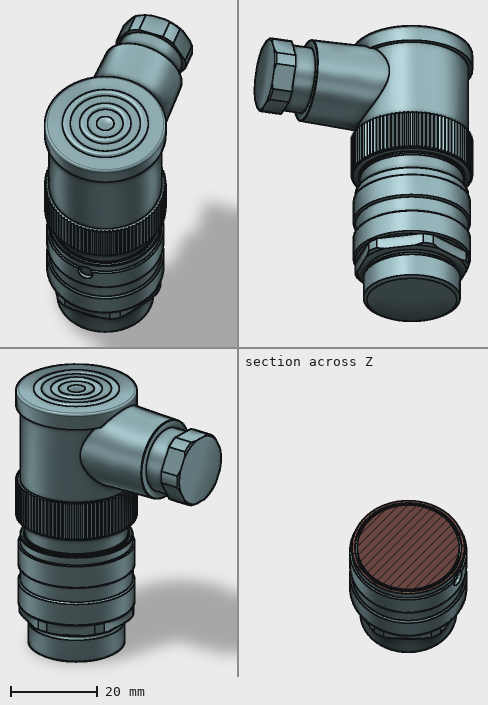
import cadquery as cq
import math


COLLAR_RADIUS = 11.1
COLLAR_TOP = 6.4
COLLAR_CHAMFER_WIDTH = 0.8
COLLAR_CHAMFER_HEIGHT = 0.5
GROOVE_RADIUS = 10.1
GROOVE_TOP = 7.0
PLUG_HEX_BOTTOM = 7.55
PLUG_HEX_FLATS = 24.0
PLUG_HEX_ROUND_RADIUS = 13.2
PLUG_HEX_CHAMFER_WIDTH = 0.65
PLUG_HEX_CHAMFER_HEIGHT = 0.45

SLEEVE_BOTTOM = 10.4
SLEEVE_TOP = 27.8
SLEEVE_RADIUS = 13.0
BAND_RADIUS = 13.5
BAND_CHAMFER = 0.4
LOWER_BAND_TOP = 16.4
UPPER_BAND_BOTTOM = 19.9
UPPER_BAND_TOP = 25.8
UPPER_BAND_TOP_TAPER = 0.2
SLEEVE_TOP_CHAMFER = 0.2
SLEEVE_RECESS_RADIUS = 12.25
SLEEVE_RECESS_DEPTH = 1.0
MARK_HOLE_RADIUS = 1.75
MARK_HOLE_HEIGHT = 24.6
MARK_HOLE_FLOOR_RADIUS = 12.5

NECK_BOTTOM = SLEEVE_TOP - SLEEVE_RECESS_DEPTH
NECK_FOOT_RADIUS = 11.8
NECK_FOOT_TAPER = 0.4
NECK_RADIUS = 12.0
NECK_LIP_RADIUS = 12.2
NECK_LIP_BOTTOM = 31.6
NECK_LIP_TAPER = 0.4
RING_BOTTOM = 32.4
RING_TOP = 41.7
RING_RADIUS = 14.0
RING_CHAMFER = 0.45
TOOTH_COUNT = 90
TOOTH_DEPTH = 0.4

BARREL_RADIUS = 13.0
CAP_BOTTOM = 60.55
CAP_FACE = 64.6
CAP_RADIUS = 14.0
CAP_EDGE_FILLET = 0.6
BEAD_HEIGHT = 0.5
BEAD_WIDTH = 1.8
BEAD_RADII = (9.0, 5.0)
DIMPLE_RADIUS = 2.0
DIMPLE_DEPTH = 0.4
ARM_HEIGHT = 53.6
ARM_ROOT_RADIUS = 10.2
ARM_END_RADIUS = 9.45
ARM_END = 25.5
ARM_END_CHAMFER = 0.1

GLAND_RADIUS = 7.6
GLAND_HEX_START = 30.45
GLAND_END = 35.4
GLAND_HEX_FLATS = 16.0
GLAND_HEX_ROUND_RADIUS = 8.5
GLAND_CHAMFER = 0.4


def revolve_profile(points):
    """Revolve an (r, z) outline about the Z axis."""
    return cq.Workplane("XZ").polyline(points).close().revolve(360, (0, 0, 0), (0, 1, 0))


def hexagon(flats, height):
    """Hexagonal prism on the XY plane with corners on +X and -X."""
    across_corners = flats / math.cos(math.pi / 6)
    return cq.Workplane("XY").polygon(6, across_corners).extrude(height)


def make_insert():
    collar_end_radius = COLLAR_RADIUS - COLLAR_CHAMFER_WIDTH
    collar = revolve_profile([
        (0, 0),
        (collar_end_radius, 0),
        (COLLAR_RADIUS, COLLAR_CHAMFER_HEIGHT),
        (COLLAR_RADIUS, COLLAR_TOP - COLLAR_CHAMFER_HEIGHT),
        (collar_end_radius, COLLAR_TOP),
        (GROOVE_RADIUS, COLLAR_TOP),
        (GROOVE_RADIUS, GROOVE_TOP),
        (collar_end_radius, PLUG_HEX_BOTTOM),
        (0, PLUG_HEX_BOTTOM),
    ])
    hex_height = SLEEVE_BOTTOM - PLUG_HEX_BOTTOM
    hex_envelope = revolve_profile([
        (0, 0),
        (PLUG_HEX_ROUND_RADIUS - PLUG_HEX_CHAMFER_WIDTH, 0),
        (PLUG_HEX_ROUND_RADIUS, PLUG_HEX_CHAMFER_HEIGHT),
        (PLUG_HEX_ROUND_RADIUS, hex_height),
        (0, hex_height),
    ])
    plug_hex = hexagon(PLUG_HEX_FLATS, hex_height).intersect(hex_envelope)
    return collar.union(plug_hex.translate((0, 0, PLUG_HEX_BOTTOM)))


def make_sleeve():
    sleeve = revolve_profile([
        (0, SLEEVE_BOTTOM),
        (BAND_RADIUS - BAND_CHAMFER, SLEEVE_BOTTOM),
        (BAND_RADIUS, SLEEVE_BOTTOM + BAND_CHAMFER),
        (BAND_RADIUS, LOWER_BAND_TOP - BAND_CHAMFER),
        (SLEEVE_RADIUS, LOWER_BAND_TOP),
        (SLEEVE_RADIUS, UPPER_BAND_BOTTOM),
        (BAND_RADIUS, UPPER_BAND_BOTTOM + BAND_CHAMFER),
        (BAND_RADIUS, UPPER_BAND_TOP - UPPER_BAND_TOP_TAPER),
        (SLEEVE_RADIUS, UPPER_BAND_TOP),
        (SLEEVE_RADIUS, SLEEVE_TOP - SLEEVE_TOP_CHAMFER),
        (SLEEVE_RADIUS - SLEEVE_TOP_CHAMFER, SLEEVE_TOP),
        (SLEEVE_RECESS_RADIUS, SLEEVE_TOP),
        (SLEEVE_RECESS_RADIUS, NECK_BOTTOM),
        (0, NECK_BOTTOM),
    ])
    floor = cq.Workplane("XY").circle(MARK_HOLE_FLOOR_RADIUS).extrude(SLEEVE_TOP)
    mark_hole = (
        cq.Workplane("XZ").center(0, MARK_HOLE_HEIGHT)
        .circle(MARK_HOLE_RADIUS).extrude(BAND_RADIUS).cut(floor)
    )
    return sleeve.cut(mark_hole)


def make_neck():
    """Neck that stands in the sleeve recess, carries the knurled ring and meets the housing."""
    lip_full = NECK_LIP_BOTTOM + NECK_LIP_TAPER
    return revolve_profile([
        (0, NECK_BOTTOM),
        (NECK_FOOT_RADIUS, NECK_BOTTOM),
        (NECK_FOOT_RADIUS, SLEEVE_TOP),
        (NECK_RADIUS, SLEEVE_TOP + NECK_FOOT_TAPER),
        (NECK_RADIUS, NECK_LIP_BOTTOM),
        (NECK_LIP_RADIUS, lip_full),
        (NECK_LIP_RADIUS, RING_TOP),
        (0, RING_TOP),
    ])


def make_knurled_ring():
    outline = []
    for i in range(2 * TOOTH_COUNT):
        angle = math.pi * i / TOOTH_COUNT
        radius = RING_RADIUS - TOOTH_DEPTH * (i % 2)
        outline.append((radius * math.cos(angle), radius * math.sin(angle)))
    height = RING_TOP - RING_BOTTOM
    teeth = cq.Workplane("XY").polyline(outline).close().extrude(height)
    envelope = (
        cq.Workplane("XY").circle(RING_RADIUS).extrude(height)
        .faces("<Z").chamfer(RING_CHAMFER)
    )
    bore = cq.Workplane("XY").circle(NECK_LIP_RADIUS).extrude(height)
    return teeth.intersect(envelope).cut(bore).translate((0, 0, RING_BOTTOM))


def point_along_arm(body):
    """Turn a body from the Z axis onto the +Y axis of the arm."""
    return body.rotate((0, 0, 0), (1, 0, 0), -90).translate((0, 0, ARM_HEIGHT))


def make_bead(radius):
    """Ring of circular-segment section standing on the cap face."""
    return (
        cq.Workplane("XZ")
        .moveTo(radius - BEAD_WIDTH / 2, CAP_FACE)
        .threePointArc((radius, CAP_FACE + BEAD_HEIGHT), (radius + BEAD_WIDTH / 2, CAP_FACE))
        .close().revolve(360, (0, 0, 0), (0, 1, 0))
    )


def make_dimple():
    """Ball whose lower cap forms the shallow dimple at the centre of the cap face."""
    ball_radius = (DIMPLE_RADIUS ** 2 + DIMPLE_DEPTH ** 2) / (2 * DIMPLE_DEPTH)
    return cq.Workplane("XY").sphere(ball_radius).translate(
        (0, 0, CAP_FACE - DIMPLE_DEPTH + ball_radius)
    )


def make_housing():
    barrel = (
        cq.Workplane("XY").workplane(offset=RING_TOP)
        .circle(BARREL_RADIUS).extrude(CAP_BOTTOM - RING_TOP)
    )
    cap = (
        cq.Workplane("XY").workplane(offset=CAP_BOTTOM)
        .circle(CAP_RADIUS).extrude(CAP_FACE - CAP_BOTTOM)
        .faces(">Z").edges().fillet(CAP_EDGE_FILLET)
    )
    arm = revolve_profile([
        (0, 0), (ARM_ROOT_RADIUS, 0), (ARM_END_RADIUS, ARM_END), (0, ARM_END),
    ]).faces(">Z").chamfer(ARM_END_CHAMFER)
    housing = barrel.union(cap).union(point_along_arm(arm)).cut(make_dimple())
    for radius in BEAD_RADII:
        housing = housing.union(make_bead(radius))
    return housing


def make_gland():
    shank = (
        cq.Workplane("XY").workplane(offset=ARM_END)
        .circle(GLAND_RADIUS).extrude(GLAND_HEX_START - ARM_END)
    )
    hex_length = GLAND_END - GLAND_HEX_START
    envelope = (
        cq.Workplane("XY").circle(GLAND_HEX_ROUND_RADIUS).extrude(hex_length)
        .faces(">Z").chamfer(GLAND_CHAMFER)
    )
    gland_hex = hexagon(GLAND_HEX_FLATS, hex_length).intersect(envelope)
    return point_along_arm(shank.union(gland_hex.translate((0, 0, GLAND_HEX_START))))


insert = make_insert()
sleeve = make_sleeve()
neck = make_neck()
knurled_ring = make_knurled_ring()
housing = make_housing()
gland = make_gland()

result = cq.Compound.makeCompound([
    insert.val(), sleeve.val(), neck.val(), knurled_ring.val(), housing.val(), gland.val(),
])